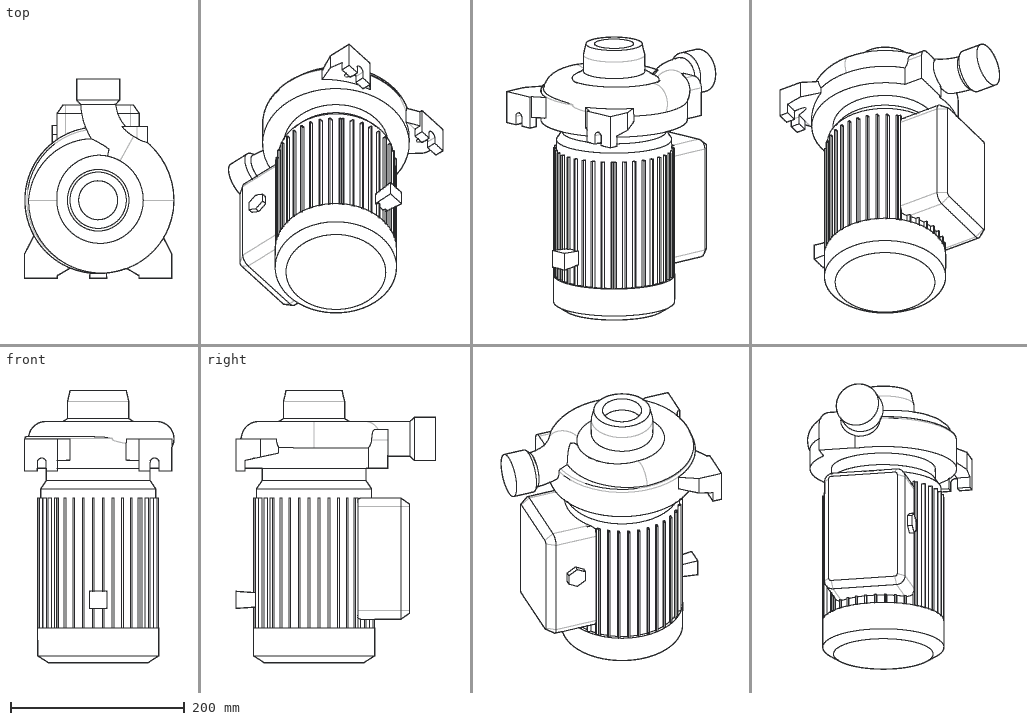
import cadquery as cq
import math


MOTOR_R = 70.0
BASE_BEVEL_R = 57.5
BASE_BEVEL_Z = 8.0
COVER_TOP_Z = 40.0
FIN_TOP_Z = 190.0
CORE_R = 66.5
SHOULDER_Z = 200.5
NECK_R = 60.0
NECK_Z = 210.0

FIN_WIDTH = 2.0
FIN_HEIGHT = MOTOR_R - CORE_R
FIN_ANGLES = range(-45, 46, 10)

BOX_WIDTH = 95.0
BOX_BOTTOM_Z = 50.0
BOX_FACE_Y = 110.0
BOX_CORNER_R = 10.0
BOX_BEVEL_DEPTH = 10.0
BOX_BEVEL_INSET = 7.0
GLAND_ACROSS_CORNERS = 24.0
GLAND_HEIGHT = 5.5
GLAND_Y = 76.0
GLAND_Z = 131.0

SOLE_Y = -90.0
STOP_SIZE = 20.0
STOP_Z = 72.5
STOP_ROOT_Y = -63.0
STOP_TAPER = 4.0

DISC_R = 84.6
DISC_BOTTOM_Z = 224.0
DISC_TOP_Z = 261.0
DISC_EDGE_R = 2.5

PIPE_R = 20.25
PIPE_Z = 258.0
VOLUTE_R = 67.25
SPIRAL_OFFSET = 3.5
LOWER_R = VOLUTE_R - SPIRAL_OFFSET
OUTLET_ANGLE = 61.0
THROAT_END_ANGLE = 78.0
THROAT_WIDTH = 21.0
THROAT_HEIGHT = 33.0
THROAT_PATH_R = 59.0
THROAT_STEPS = 4

COLLAR_R = 25.0
COLLAR_END_Y = 140.0
COLLAR_LENGTH = 24.5
COLLAR_CONE_LENGTH = 5.0

CONE_R = 52.0
CONE_BOTTOM_Z = 271.3
NOZZLE_R = 35.5
NOZZLE_BOTTOM_Z = 281.4
NOZZLE_TAPER_Z = 301.0
NOZZLE_TOP_R = 32.5
TOP_Z = 314.0
BORE_R = 22.5
BORE_DEPTH = 16.0

FOOT_OUTER_X = 85.0
FOOT_INNER_X = 47.0
FOOT_TOP_Z = PIPE_Z
FOOT_BOTTOM_Z = 221.0
FOOT_SHOULDER_Y = -62.0
FOOT_FLARE_X = 65.0
FOOT_FLARE_Y = -23.0
SOLE_STEP = 3.0
WEB_X = 20.0
WEB_ANGLE = 30.6
LEG_THICKNESS = 10.7
WEB_LOW_Z = 233.3
WEB_HIGH_Z = 250.6
SLOT_X = 65.0
SLOT_WIDTH = 10.0
SLOT_TOP_Z = 236.0

LUG_INNER_X = 15.0
LUG_OUTER_X = 57.0
LUG_END_Y = 85.0
LUG_TOP_Z = 269.0
LUG_EDGE_R = 12.0


def box(x_range, y_range, z_range):
    sizes = [high - low for low, high in (x_range, y_range, z_range)]
    return cq.Workplane("XY").box(*sizes, centered=False).translate((x_range[0], y_range[0], z_range[0]))


def motor_body():
    profile = [
        (0, 0),
        (BASE_BEVEL_R, 0),
        (MOTOR_R, BASE_BEVEL_Z),
        (MOTOR_R, COVER_TOP_Z),
        (CORE_R, COVER_TOP_Z),
        (CORE_R, SHOULDER_Z),
        (NECK_R, NECK_Z),
        (NECK_R, DISC_BOTTOM_Z),
        (0, DISC_BOTTOM_Z),
    ]
    return cq.Workplane("XZ").polyline(profile).close().revolve()


def add_fins(body):
    places = []
    for angle in FIN_ANGLES:
        a = math.radians(angle)
        places.append((CORE_R * math.cos(a), CORE_R * math.sin(a)))
    quadrant = (
        cq.Workplane("XY", origin=(0, 0, COVER_TOP_Z))
        .pushPoints(places)
        .rect(2 * FIN_HEIGHT, FIN_WIDTH)
        .extrude(FIN_TOP_Z - COVER_TOP_Z)
    )
    for turn in (0, 90, 180, 270):
        body = body.union(quadrant.rotate((0, 0, 0), (0, 0, 1), turn))
    return body


def terminal_box():
    half = BOX_WIDTH / 2
    bevel_y = BOX_FACE_Y - BOX_BEVEL_DEPTH
    bevel_angle = math.degrees(math.atan2(BOX_BEVEL_INSET, BOX_BEVEL_DEPTH))
    housing = box((-half, half), (0, bevel_y), (BOX_BOTTOM_Z, FIN_TOP_Z))
    housing = housing.edges("|Y").fillet(BOX_CORNER_R)
    lid = (
        housing.faces(">Y")
        .wires()
        .toPending()
        .workplane()
        .extrude(BOX_BEVEL_DEPTH, combine=False, taper=bevel_angle)
    )
    housing = housing.union(lid)
    gland = (
        cq.Workplane("YZ", origin=(-half - GLAND_HEIGHT, GLAND_Y, GLAND_Z))
        .polygon(6, GLAND_ACROSS_CORNERS)
        .extrude(2 * GLAND_HEIGHT)
        .rotate((0, GLAND_Y, GLAND_Z), (1, GLAND_Y, GLAND_Z), 90)
    )
    return housing.union(gland)


def motor_stop():
    return (
        cq.Workplane("XZ", origin=(0, SOLE_Y, STOP_Z))
        .rect(STOP_SIZE, STOP_SIZE)
        .extrude(SOLE_Y - STOP_ROOT_Y, taper=STOP_TAPER)
    )


def casing_disc():
    return (
        cq.Workplane("XY", origin=(0, 0, DISC_BOTTOM_Z))
        .circle(DISC_R)
        .extrude(DISC_TOP_Z - DISC_BOTTOM_Z)
        .faces(">Z")
        .edges()
        .fillet(DISC_EDGE_R)
    )


def pipe_bend(center, bend_r, start_angle, sweep_angle):
    """Solid pipe bent round a vertical line through `center`, starting at `start_angle`."""
    return (
        cq.Workplane("XZ")
        .center(bend_r, PIPE_Z)
        .circle(PIPE_R)
        .revolve(sweep_angle, (-bend_r, 0, 0), (-bend_r, 1, 0))
        .rotate((0, 0, 0), (0, 0, 1), start_angle)
        .translate((*center, 0))
    )


def throat():
    """Start of the spiral: it narrows from the -X side round to its end inside the discharge pipe."""
    start_path_r = LOWER_R - SPIRAL_OFFSET
    sections = []
    for step in range(THROAT_STEPS + 1):
        share = step / THROAT_STEPS
        a = math.radians(180 + (THROAT_END_ANGLE - 180) * share)
        path_r = start_path_r + (THROAT_PATH_R - start_path_r) * share
        half_height = PIPE_R + (THROAT_HEIGHT / 2 - PIPE_R) * share
        half_width = PIPE_R + (THROAT_WIDTH / 2 - PIPE_R) * share
        place = cq.Vector(path_r * math.cos(a), path_r * math.sin(a), PIPE_Z)
        along = cq.Vector(math.sin(a), -math.cos(a), 0)
        downward = cq.Vector(0, 0, -1)
        sections.append(cq.Wire.makeEllipse(half_height, half_width, place, along, downward))
    return cq.Workplane(obj=cq.Solid.makeLoft(sections))


def volute():
    a = math.radians(OUTLET_ANGLE)
    outlet_bend_r = VOLUTE_R * math.cos(a) / (1 - math.cos(a))
    outlet_center = (outlet_bend_r, (VOLUTE_R + outlet_bend_r) * math.sin(a))
    lower = pipe_bend((SPIRAL_OFFSET, 0), LOWER_R, 180, 180)
    upper = pipe_bend((0, 0), VOLUTE_R, 0, OUTLET_ANGLE)
    outlet = pipe_bend(outlet_center, outlet_bend_r, 180, OUTLET_ANGLE)
    return lower.union(upper).union(outlet).union(throat())


def discharge_collar():
    start_y = COLLAR_END_Y - COLLAR_LENGTH - COLLAR_CONE_LENGTH
    profile = [
        (0, start_y),
        (PIPE_R, start_y),
        (COLLAR_R, start_y + COLLAR_CONE_LENGTH),
        (COLLAR_R, COLLAR_END_Y),
        (0, COLLAR_END_Y),
    ]
    return (
        cq.Workplane("XY", origin=(0, 0, PIPE_Z))
        .polyline(profile)
        .close()
        .revolve(360, (0, 0, 0), (0, 1, 0))
    )


def suction_nozzle():
    floor_z = TOP_Z - BORE_DEPTH
    profile = [
        (0, DISC_BOTTOM_Z),
        (CONE_R, DISC_BOTTOM_Z),
        (CONE_R, CONE_BOTTOM_Z),
        (NOZZLE_R, NOZZLE_BOTTOM_Z),
        (NOZZLE_R, NOZZLE_TAPER_Z),
        (NOZZLE_TOP_R, TOP_Z),
        (BORE_R, TOP_Z),
        (BORE_R, floor_z),
        (0, floor_z),
    ]
    return cq.Workplane("XZ").polyline(profile).close().revolve()


def left_foot():
    web_rise = (FOOT_INNER_X - WEB_X) * math.tan(math.radians(WEB_ANGLE))
    step_y = SOLE_Y + SOLE_STEP
    plan = [
        (-FOOT_OUTER_X, SOLE_Y),
        (-FOOT_INNER_X, SOLE_Y),
        (-FOOT_INNER_X, step_y),
        (-WEB_X, step_y + web_rise),
        (-WEB_X, FOOT_FLARE_Y),
        (-FOOT_FLARE_X, FOOT_FLARE_Y),
        (-FOOT_OUTER_X, FOOT_SHOULDER_Y),
    ]
    leg_y = SOLE_Y + LEG_THICKNESS
    side = [
        (SOLE_Y, WEB_LOW_Z),
        (leg_y, WEB_LOW_Z),
        (0, WEB_HIGH_Z),
        (0, FOOT_TOP_Z),
        (SOLE_Y, FOOT_TOP_Z),
    ]
    foot = cq.Workplane("XY").polyline(plan).close().extrude(FOOT_TOP_Z)
    foot = foot.intersect(cq.Workplane("YZ").polyline(side).close().extrude(-FOOT_OUTER_X))
    leg = box((-FOOT_OUTER_X, -FOOT_INNER_X), (SOLE_Y, leg_y), (FOOT_BOTTOM_Z, FOOT_TOP_Z))
    foot = foot.union(leg)
    slot_r = SLOT_WIDTH / 2
    slot = (
        cq.Workplane("XZ", origin=(-SLOT_X, 0, 0))
        .moveTo(-slot_r, FOOT_BOTTOM_Z)
        .lineTo(slot_r, FOOT_BOTTOM_Z)
        .lineTo(slot_r, SLOT_TOP_Z - slot_r)
        .threePointArc((0, SLOT_TOP_Z), (-slot_r, SLOT_TOP_Z - slot_r))
        .close()
        .extrude(-SOLE_Y)
    )
    return foot.cut(slot)


def discharge_lug():
    lug = box((LUG_INNER_X, LUG_OUTER_X), (0, LUG_END_Y), (DISC_BOTTOM_Z, LUG_TOP_Z))
    return lug.edges(">X and >Z").fillet(LUG_EDGE_R)


foot = left_foot()
result = add_fins(motor_body())
for piece in (
    terminal_box(),
    motor_stop(),
    foot,
    foot.mirror("YZ"),
    discharge_lug(),
    casing_disc(),
    suction_nozzle(),
    volute(),
    discharge_collar(),
):
    result = result.union(piece)